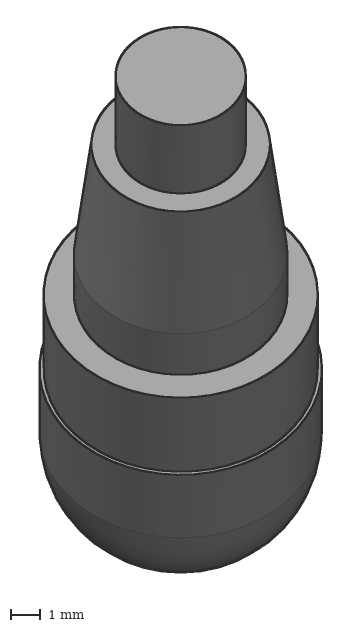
import cadquery as cq
import math

total_height = 23.0
tip_diameter = 9.53
collar_diameter = 9.25
sleeve_diameter = 7.2
cable_diameter = 4.4
taper_angle = 6.0

tip_top = 8.0
collar_top = 11.8
taper_start = 13.9
taper_top = 19.5

tip_radius = tip_diameter / 2
collar_radius = collar_diameter / 2
sleeve_radius = sleeve_diameter / 2
sleeve_top_radius = sleeve_radius - (taper_top - taper_start) * math.tan(math.radians(taper_angle))
cable_radius = cable_diameter / 2


def make_tip():
    """Cylindrical tip closed by a full hemisphere at the bottom."""
    arc_middle = tip_radius * math.sin(math.radians(45))
    profile = (
        cq.Workplane("XZ")
        .moveTo(0, 0)
        .threePointArc((arc_middle, tip_radius - arc_middle), (tip_radius, tip_radius))
        .lineTo(tip_radius, tip_top)
        .lineTo(0, tip_top)
        .close()
    )
    return profile.revolve(360, (0, 0, 0), (0, 1, 0))


def make_stem():
    """Stepped stem: collar, sleeve with a tapered upper part, and cable stub."""
    profile = (
        cq.Workplane("XZ")
        .moveTo(0, tip_top)
        .lineTo(collar_radius, tip_top)
        .lineTo(collar_radius, collar_top)
        .lineTo(sleeve_radius, collar_top)
        .lineTo(sleeve_radius, taper_start)
        .lineTo(sleeve_top_radius, taper_top)
        .lineTo(cable_radius, taper_top)
        .lineTo(cable_radius, total_height)
        .lineTo(0, total_height)
        .close()
    )
    return profile.revolve(360, (0, 0, 0), (0, 1, 0))


tip = make_tip()
stem = make_stem()

result = cq.Compound.makeCompound([tip.val(), stem.val()])